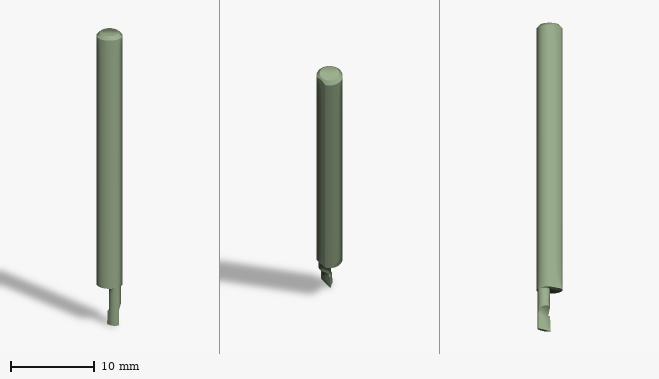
import cadquery as cq
import math

total_length = 38.1
shank_diameter = 3.15
shank_flat_y = 1.353
shank_bottom = 5.1
top_chamfer_width = 0.42
top_chamfer_height = 0.42

neck_diameter = 1.45
neck_radius = neck_diameter / 2
neck_x = shank_diameter / 2 - neck_radius
neck_y = 0.05
neck_front_y = neck_y - neck_radius

head_height = 1.85
tip_x = -0.2
relief_x = 0.08
relief_y = -0.35
heel_x = 0.25
head_top_shift = 0.1
end_rise_angle_x = 3.0
end_rise_angle_y = 5.0

runout_radius = 1.15
runout_center_z = 1.8
clearance = 7.62


def make_shank():
    body = cq.Workplane("XY").workplane(offset=shank_bottom)
    body = body.circle(shank_diameter / 2).extrude(total_length - shank_bottom)
    body = body.faces(">Z").chamfer(top_chamfer_height, top_chamfer_width)
    flat_cut = cq.Workplane("XY").box(
        clearance, clearance, total_length, centered=(True, False, False)
    )
    return body.cut(flat_cut.translate((0, shank_flat_y, 0)))


def make_neck():
    neck = cq.Workplane("XY").center(neck_x, neck_y)
    return neck.circle(neck_radius).extrude(shank_bottom + 0.4)


def head_outline(shift):
    return [
        (tip_x + shift, 0),
        (relief_x + shift, relief_y),
        (heel_x + shift, neck_front_y),
        (neck_x, neck_front_y),
        (neck_x, 0),
    ]


def make_head():
    """Faceted head whose left facets lean toward the tip."""
    bottom = cq.Workplane("XY").polyline(head_outline(0)).close()
    top = bottom.workplane(offset=head_height).polyline(head_outline(head_top_shift)).close()
    return top.loft(ruled=True)


def make_rake_cut():
    """Everything on the +Y side of the rake face, below the rounded run-out."""
    runout_top = runout_center_z + runout_radius
    arc_middle = (
        runout_radius * (1 - math.sqrt(0.5)),
        runout_center_z + runout_radius * math.sqrt(0.5),
    )
    return (
        cq.Workplane("YZ")
        .moveTo(0, -0.4)
        .lineTo(0, runout_center_z)
        .threePointArc(arc_middle, (runout_radius, runout_top))
        .lineTo(runout_radius, -0.4)
        .close()
        .extrude(clearance, both=True)
    )


def make_end_cut():
    """Block under the end face, which rises from the tip toward +X and -Y."""
    block = cq.Workplane("XY").box(clearance, clearance, clearance)
    block = block.translate((0, 0, -clearance / 2))
    block = block.rotate((0, 0, 0), (1, 0, 0), -end_rise_angle_y)
    block = block.rotate((0, 0, 0), (0, 1, 0), -end_rise_angle_x)
    return block.translate((tip_x, 0, 0))


tool_end = make_neck().cut(make_rake_cut()).union(make_head()).cut(make_end_cut())
result = make_shank().union(tool_end)